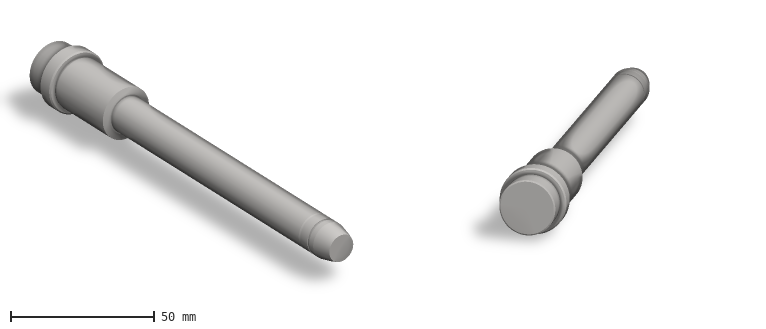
import cadquery as cq

length = 170.0
head_dia = 20.0
collar_dia = 24.0
shoulder_dia = 15.0
stem_dia = 14.0
tip_dia = 10.4

collar_start = 8.8
collar_end = 15.0
shoulder_start = 43.4
shoulder_end = 44.2
band_start = 155.4
band_end = 159.5
tip_start = 162.9

head_chamfer_length = 0.3
head_chamfer_depth = 0.5
collar_chamfer = 0.5
groove_width = 1.0
groove_depth = 0.25
tip_bulge = 0.2

head_r = head_dia / 2
collar_r = collar_dia / 2
shoulder_r = shoulder_dia / 2
stem_r = stem_dia / 2
tip_r = tip_dia / 2


def groove_before(x, shaft_r):
    """Outline of a shallow groove that slopes down to its deepest point at x."""
    return [(x - groove_width, shaft_r), (x, shaft_r - groove_depth)]


def groove_after(x, shaft_r):
    """Outline of a shallow groove that slopes up from its deepest point at x."""
    return [(x, shaft_r - groove_depth), (x + groove_width, shaft_r)]


outline = [
    (0, 0),
    (0, head_r - head_chamfer_depth),
    (head_chamfer_length, head_r),
    *groove_before(collar_start, head_r),
    (collar_start, collar_r - collar_chamfer),
    (collar_start + collar_chamfer, collar_r),
    (collar_end - collar_chamfer, collar_r),
    (collar_end, collar_r - collar_chamfer),
    *groove_after(collar_end, head_r),
    (shoulder_start, head_r),
    (shoulder_end, shoulder_r),
    (shoulder_end, stem_r),
    *groove_before(band_start, stem_r),
    (band_start, stem_r),
    (band_end, stem_r),
    *groove_after(band_end, stem_r),
    (tip_start, stem_r),
]

tip_middle = ((tip_start + length) / 2, (stem_r + tip_r) / 2 + tip_bulge)

pin = (
    cq.Workplane("XY")
    .polyline(outline)
    .threePointArc(tip_middle, (length, tip_r))
    .lineTo(length, 0)
    .close()
    .revolve(360, (0, 0, 0), (1, 0, 0))
)
result = pin.translate((-length / 2, 0, 0))